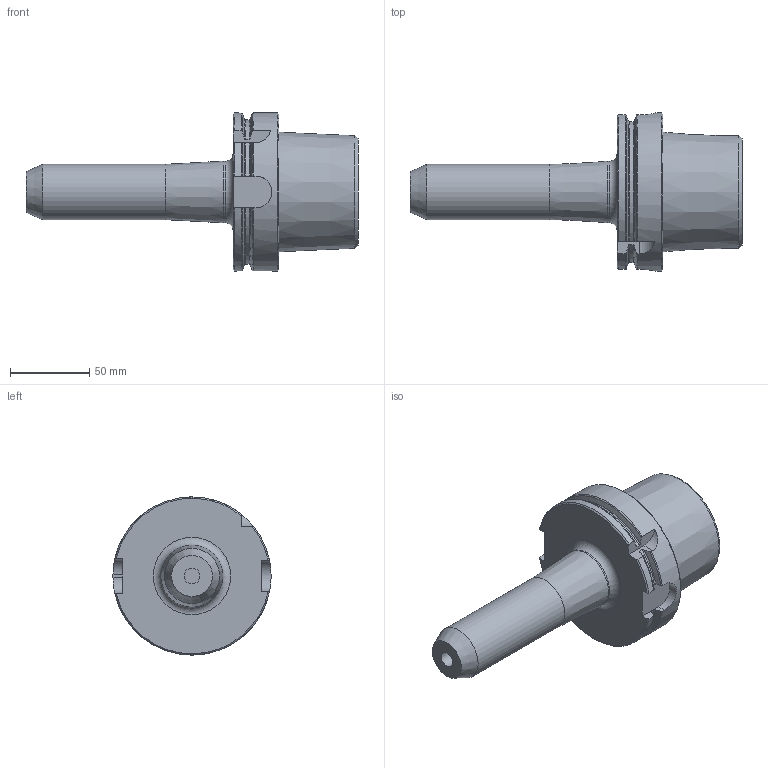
import cadquery as cq
import math


nose_end = -160.0
flange_front = -29.0
shank_end = 50.0

bore_diameter = 10.0
bore_depth = 40.0
tip_diameter = 26.0
tip_length = 10.5
nose_diameter = 35.0
neck_start = -72.0
neck_end = -35.0
root_fillet_start = -34.0
neck_diameter = 39.0
root_fillet_radius = flange_front - root_fillet_start

flange_diameter = 100.0
flange_chamfer = 0.8

groove_centre = -20.0
groove_depth = 4.3
groove_bottom_width = 3.4
groove_wall_angle = math.radians(20)
groove_round = 0.8

shank_large_diameter = 75.6
shank_small_diameter = 71.2
shank_chamfer_length = 2.0
shank_chamfer_depth = 1.5

slot_floor_offset = 44.0
slot_end = -4.5
front_slot_width = 20.0
rear_slot_width = 22.0
slot_corner_radius = 10.0

notch_corner = 31.2
notch_end_radius = 10.0
notch_end_centre = -15.0

flange_radius = flange_diameter / 2

arc_mid_factor = math.sqrt(0.5)


def revolve_profile(profile):
    """Turn an open XZ half-profile, closed along its last side, about the X axis."""
    return profile.close().revolve(360, (0, 0, 0), (1, 0, 0))


def make_body():
    """Nose, neck, flange and shank as one turned solid."""
    neck_radius = neck_diameter / 2
    root_radius = neck_radius + root_fillet_radius
    fillet_mid_offset = root_fillet_radius * arc_mid_factor
    fillet_mid = (root_fillet_start + fillet_mid_offset, root_radius - fillet_mid_offset)
    profile = (
        cq.Workplane("XZ")
        .moveTo(nose_end, 0)
        .lineTo(nose_end, tip_diameter / 2)
        .lineTo(nose_end + tip_length, nose_diameter / 2)
        .lineTo(neck_start, nose_diameter / 2)
        .lineTo(neck_end, neck_radius)
        .lineTo(root_fillet_start, neck_radius)
        .threePointArc(fillet_mid, (flange_front, root_radius))
        .lineTo(flange_front, flange_radius - flange_chamfer)
        .lineTo(flange_front + flange_chamfer, flange_radius)
        .lineTo(-flange_chamfer, flange_radius)
        .lineTo(0, flange_radius - flange_chamfer)
        .lineTo(0, shank_large_diameter / 2)
        .lineTo(shank_end - shank_chamfer_length, shank_small_diameter / 2)
        .lineTo(shank_end, shank_small_diameter / 2 - shank_chamfer_depth)
        .lineTo(shank_end, 0)
    )
    return revolve_profile(profile)


def cut_groove(body):
    """Turn the V groove into the flange and round its rims and bottom corners."""
    bottom_half = groove_bottom_width / 2
    top_half = bottom_half + groove_depth * math.tan(groove_wall_angle)
    bottom_radius = flange_radius - groove_depth
    profile = (
        cq.Workplane("XZ")
        .moveTo(groove_centre - bottom_half, bottom_radius)
        .lineTo(groove_centre + bottom_half, bottom_radius)
        .lineTo(groove_centre + top_half, flange_radius)
        .lineTo(groove_centre - top_half, flange_radius)
    )
    grooved = body.cut(revolve_profile(profile))
    groove_zone = cq.selectors.BoxSelector(
        (groove_centre - 2 * top_half, -flange_radius, -flange_radius),
        (groove_centre + 2 * top_half, flange_radius, flange_radius),
    )
    return grooved.edges("%CIRCLE").edges(groove_zone).fillet(groove_round)


def make_drive_slot(width, side):
    """Cutter for a flat-floored slot; side is -1 for the -Y slot and +1 for the +Y slot."""
    depth = flange_radius - slot_floor_offset
    corner_x = slot_end - slot_corner_radius
    corner_z = width / 2 - slot_corner_radius
    arc_mid = slot_corner_radius * arc_mid_factor
    profile = (
        cq.Workplane("XZ", origin=(0, side * slot_floor_offset, 0))
        .moveTo(flange_front, -width / 2)
        .lineTo(corner_x, -width / 2)
        .threePointArc((corner_x + arc_mid, -corner_z - arc_mid), (slot_end, -corner_z))
    )
    if corner_z > 0:
        profile = profile.lineTo(slot_end, corner_z)
    profile = (
        profile
        .threePointArc((corner_x + arc_mid, corner_z + arc_mid), (corner_x, width / 2))
        .lineTo(flange_front, width / 2)
        .close()
    )
    return profile.extrude(-side * depth)


def make_index_notch():
    """Cutter for the notch in the -Y, +Z quarter; its floor sweeps up in an arc at the rear."""
    floor_z = notch_corner
    arc_centre_z = floor_z + notch_end_radius
    arc_mid_offset = notch_end_radius * arc_mid_factor
    profile = (
        cq.Workplane("XZ", origin=(0, -notch_corner, 0))
        .moveTo(flange_front, floor_z)
        .lineTo(notch_end_centre, floor_z)
        .threePointArc(
            (notch_end_centre + arc_mid_offset, arc_centre_z - arc_mid_offset),
            (notch_end_centre + notch_end_radius, arc_centre_z),
        )
        .lineTo(notch_end_centre + notch_end_radius, flange_radius)
        .lineTo(flange_front, flange_radius)
        .close()
    )
    return profile.extrude(flange_radius - notch_corner)


def make_bore():
    """Cutter for the blind bore in the nose tip."""
    bore = cq.Workplane("YZ", origin=(nose_end, 0, 0)).circle(bore_diameter / 2)
    return bore.extrude(bore_depth)


result = (
    cut_groove(make_body())
    .cut(make_drive_slot(front_slot_width, -1))
    .cut(make_drive_slot(rear_slot_width, 1))
    .cut(make_index_notch())
    .cut(make_bore())
)